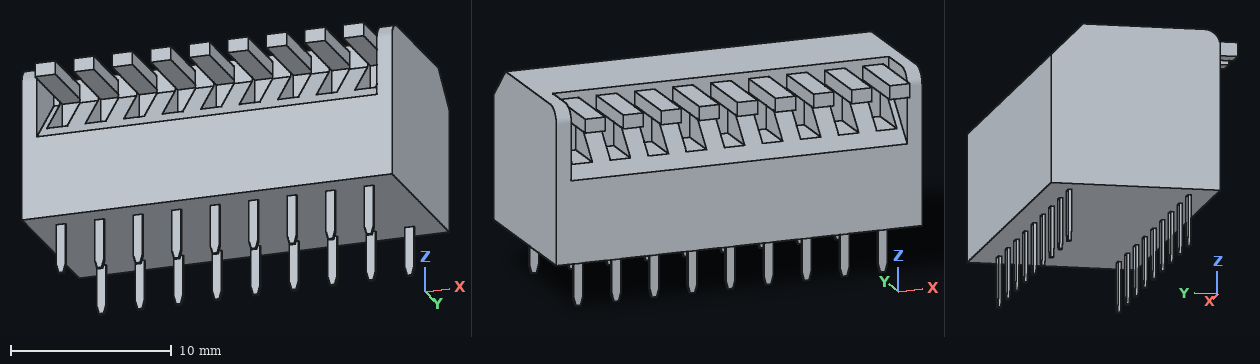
import cadquery as cq

length = 24.42
depth = 10.8
height = 10.2
rear_chamfer = 2.03
front_round = 1.0

end_wall = 1.0
recess_depth = 3.2
recess_back_height = 1.59
recess_length = length - 2 * end_wall
recess_back_z = height - recess_back_height
recess_front_z = recess_back_z - recess_depth

switch_count = 9
pitch = 2.55
lever_width = 1.35
lever_height = 0.9
lever_top_gap = 0.45
lever_overhang = 1.42
lever_bottom_z = height - lever_top_gap - lever_height
slot_floor_drop = 3.98
slot_floor_z = height - slot_floor_drop
slot_undercut = 0.5
slot_depth = recess_depth + slot_undercut

pin_row_spacing = 7.62
pin_length = 3.2
pin_width = 0.6
pin_thickness = 0.2
tip_length = 0.54
tip_width = 0.32
front_row_y = (depth - pin_row_spacing) / 2

switch_positions = [(i - (switch_count - 1) / 2) * pitch for i in range(switch_count)]


def block(x_size, y_start, y_end, z_start, z_end, x_center=0.0):
    """Box centred on x_center, spanning the given Y and Z ranges."""
    box = cq.Workplane("XY").box(x_size, y_end - y_start, z_end - z_start, centered=(True, False, False))
    return box.translate((x_center, y_start, z_start))


def make_housing():
    body = block(length, 0, depth, 0, height)
    body = body.edges("|X and >Y and >Z").chamfer(rear_chamfer)
    return body.edges("|X and <Y and >Z").fillet(front_round)


def make_recess():
    profile = [
        (0, recess_front_z),
        (recess_depth, recess_back_z),
        (recess_depth, height),
        (0, height),
    ]
    return cq.Workplane("YZ").polyline(profile).close().extrude(recess_length / 2, both=True)


def make_slot(x):
    return block(lever_width, 0, slot_depth, slot_floor_z, lever_bottom_z, x)


def make_lever(x):
    return block(lever_width, -lever_overhang, recess_depth, lever_bottom_z, lever_bottom_z + lever_height, x)


def make_pin(x, y):
    outline = [
        (-pin_width / 2, 0),
        (-pin_width / 2, tip_length - pin_length),
        (-tip_width / 2, -pin_length),
        (tip_width / 2, -pin_length),
        (pin_width / 2, tip_length - pin_length),
        (pin_width / 2, 0),
    ]
    pin = cq.Workplane("XZ").polyline(outline).close().extrude(pin_thickness / 2, both=True)
    return pin.translate((x, y, 0))


result = make_housing().cut(make_recess())
for switch_x in switch_positions:
    result = result.cut(make_slot(switch_x))
    result = result.union(make_lever(switch_x))
    for row_y in (front_row_y, front_row_y + pin_row_spacing):
        result = result.union(make_pin(switch_x, row_y))